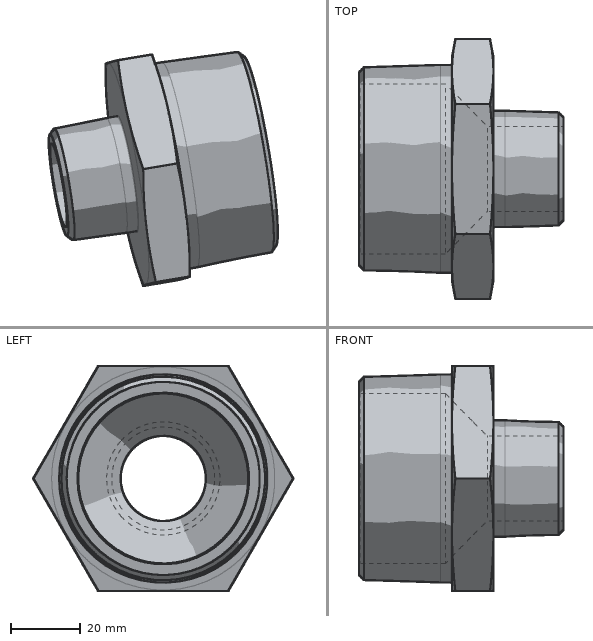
import cadquery as cq
import math


large_end_length = 26.8
hex_thickness = 12.0
small_end_length = 20.2
collar_length = 3.3
end_chamfer_length = 1.5
root_fillet_radius = 0.2

hex_across_corners = 75.0
large_collar_diameter = 60.08
small_collar_diameter = 33.65
thread_taper = 1 / 16
large_chamfer_height = 1.5
small_chamfer_height = 1.5

hex_face_diameter = 64.4
corner_chamfer_depth = 1.0

large_bore_diameter = 49.0
small_bore_diameter = 24.5
large_bore_depth = 25.0
mouth_chamfer = 0.25
bore_cone_length = 12.0

hex_start = large_end_length
hex_end = hex_start + hex_thickness
total_length = hex_end + small_end_length


def revolve_about_axis(outline):
    """Turn a closed outline, drawn as (x, radius), about the X axis."""
    return outline.revolve(360, (0, 0, 0), (1, 0, 0))


def revolve_polygon(points):
    """Turn a straight-sided outline of (x, radius) points about the X axis."""
    return revolve_about_axis(cq.Workplane("XY").polyline(points).close())


def make_tapered_end(length, collar_diameter, chamfer_height):
    """Male end starting at X = 0 and widening towards a collar at X = length."""
    collar_radius = collar_diameter / 2
    taper_end = length - collar_length
    tip_radius = collar_radius - (taper_end - end_chamfer_length) * thread_taper / 2
    fillet_start = length - root_fillet_radius
    fillet_mid_run = root_fillet_radius * math.sqrt(0.5)
    fillet_mid_rise = root_fillet_radius - fillet_mid_run
    outline = (
        cq.Workplane("XY")
        .moveTo(0, 0)
        .lineTo(0, tip_radius - chamfer_height)
        .lineTo(end_chamfer_length, tip_radius)
        .lineTo(taper_end, collar_radius)
        .lineTo(fillet_start, collar_radius)
        .threePointArc(
            (fillet_start + fillet_mid_run, collar_radius + fillet_mid_rise),
            (length, collar_radius + root_fillet_radius),
        )
        .lineTo(length, 0)
        .close()
    )
    return revolve_about_axis(outline)


def make_hexagon():
    """Hexagon with corners on the Y axis and conically chamfered corners."""
    corner_radius = hex_across_corners / 2
    face_radius = hex_face_diameter / 2
    prism = (
        cq.Workplane("YZ", origin=(hex_start, 0, 0))
        .polygon(6, hex_across_corners)
        .extrude(hex_thickness)
    )
    chamfer_envelope = revolve_polygon([
        (hex_start, 0),
        (hex_start, face_radius),
        (hex_start + corner_chamfer_depth, corner_radius),
        (hex_end - corner_chamfer_depth, corner_radius),
        (hex_end, face_radius),
        (hex_end, 0),
    ])
    return prism.intersect(chamfer_envelope)


def make_bore():
    """Through bore: chamfered mouth, wide cylinder, cone, then narrow cylinder."""
    large_radius = large_bore_diameter / 2
    small_radius = small_bore_diameter / 2
    cone_end = large_bore_depth + bore_cone_length
    return revolve_polygon([
        (0, 0),
        (0, large_radius + mouth_chamfer),
        (mouth_chamfer, large_radius),
        (large_bore_depth, large_radius),
        (cone_end, small_radius),
        (total_length, small_radius),
        (total_length, 0),
    ])


large_end = make_tapered_end(large_end_length, large_collar_diameter, large_chamfer_height)
small_end = (
    make_tapered_end(small_end_length, small_collar_diameter, small_chamfer_height)
    .mirror("YZ")
    .translate((total_length, 0, 0))
)
result = make_hexagon().union(large_end).union(small_end).cut(make_bore())